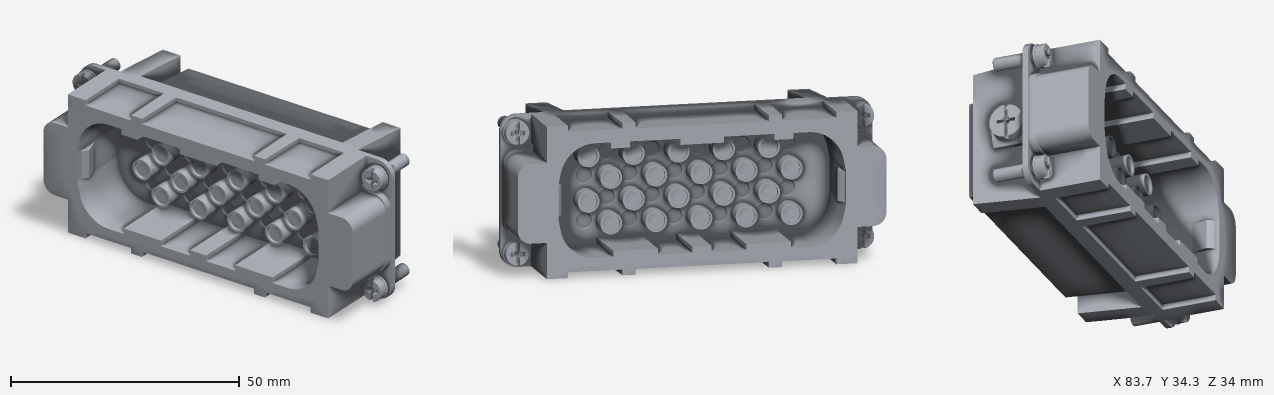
import cadquery as cq
import math


FLANGE_LENGTH = 83.7
HEIGHT = 34.0
TOTAL_DEPTH = 34.3

CAVITY_DEPTH = 14.9
FLANGE_FRONT = 14.2
FLANGE_BACK = 15.5
TAPER_START = 16.3
REAR_FACE = 31.4

FRONT_LENGTH = 69.9
REAR_LENGTH = 63.8
CENTRE_LENGTH = 54.2
REAR_DRAFT = math.tan(math.radians(5))
CENTRE_BACK_HALF_HEIGHT = 11.25
FLANGE_CORNER_RADIUS = 3.7

WING_LENGTH = 83.0
WING_HEIGHT = 17.8
WING_CORNER_RADIUS = 3.0
PAD_RISE = 0.5
PAD_FRONT = 12.4
PAD_FILLET_RADIUS = 4.5
PAD_FILLET_RUN = 3.0

POCKET_DEPTH = 1.3
POCKET_LENGTH = 12.6
POCKET_DRAFT = POCKET_LENGTH * math.tan(math.radians(1))
CENTRE_POCKET_HALF = 15.05
SIDE_POCKET_INNER = 17.95
SIDE_POCKET_OUTER = 30.2

CAVITY_HALF_LENGTH = 32.37
CAVITY_HALF_HEIGHT = 12.8
CAVITY_RADIUS = 8.0
CAVITY_ARC_X = 24.0
CAVITY_FACET_ANGLE = math.radians(11)
CAVITY_FLAT_HALF = 3.7

RIB_HEIGHT = 1.35
UPPER_RIBS = [(-20.55, -16.3), (-4.9, 4.9), (16.3, 20.55)]
LOWER_RIBS = [(-20.0, -9.95), (-2.15, 2.15), (9.95, 20.0)]

LATCH_HEIGHT = 6.8
LATCH_RISE = 1.3
LATCH_NEAR = 1.0
LATCH_NOSE = 1.75
LATCH_NOSE_RISE = 0.75
LATCH_CREST = 2.6
LATCH_FAR = 6.4

PITCH = 5.08
COLUMNS = 10
ROWS = 4
TUBE_DIAMETER = 4.9
TUBE_BORE = 4.0
TUBE_LENGTH = 4.1
SOCKET_DIAMETER = 3.7
SOCKET_FLOOR_DIAMETER = 3.3
TUBE_RECESS_DEPTH = 0.7
SOCKET_DEPTH = 0.4

SCREW_X = 38.8
SCREW_Z = 13.5
SHANK_DIAMETER = 3.0
SHANK_END = 23.3
SHANK_CHAMFER = 0.25
WASHER_DIAMETER = 5.6
WASHER_FRONT = 12.7
WASHER_BACK = 13.2
HEAD_DIAMETER = 5.3
HEAD_FRONT = 10.7
HEAD_CHAMFER = 0.15
SLOT_WIDTH = 0.85
SLOT_DEPTH = 1.0
CROSS_DIAMETER = 3.3
CROSS_WIDTH = 1.1

TERMINAL_Y = 21.1
POST_DIAMETER = 4.0
CLAMP_BACK_X = -33.25
CLAMP_EDGE_X = -34.45
CLAMP_CROWN_X = -35.65
CLAMP_SIDE = 8.7
TERMINAL_HEAD_DIAMETER = 8.0
TERMINAL_HEAD_FACE_DIAMETER = 7.75
TERMINAL_HEAD_RIM_X = -36.05
TERMINAL_HEAD_X = -37.95
TERMINAL_HEAD_SINK = 0.1
TERMINAL_SLOT_WIDTH = 0.8
TERMINAL_SLOT_DEPTH = 1.0
TERMINAL_CROSS_DIAMETER = 4.5
TERMINAL_CROSS_WIDTH = 0.8

PIT_MOUTH = 1.6
PIT_FLOOR = 0.8
PIT_DEPTH = 1.6


def section_at(y):
    """Workplane parallel to XZ at the given Y; extrusion runs toward -Y."""
    return cq.Workplane("XZ", origin=(0, y, 0))


def plate(length, height, front, back):
    """Rectangular block centred on X and Z, between two Y positions."""
    return section_at(back).rect(length, height).extrude(back - front)


def box_between(x, y, z):
    """Block spanning the given (low, high) ranges."""
    size = [high - low for low, high in (x, y, z)]
    return cq.Workplane("XY").box(*size, centered=False).translate((x[0], y[0], z[0]))


def both_ends(shape):
    """The shape together with its mirror image across X = 0."""
    return shape.union(shape.mirror("YZ"))


def four_corners(shape):
    """The shape repeated in all four quadrants of X and Z."""
    pair = both_ends(shape)
    return pair.union(pair.mirror("XY"))


def drafted_block(half_x_low, half_x_high, back, back_half_height):
    """Block between two X positions whose height shrinks toward the back with the rear draft."""
    front_half_height = back_half_height + (back - TAPER_START) * REAR_DRAFT
    return (
        cq.Workplane("YZ", origin=(half_x_low, 0, 0))
        .moveTo(TAPER_START, -front_half_height)
        .lineTo(back, -back_half_height)
        .lineTo(back, back_half_height)
        .lineTo(TAPER_START, front_half_height)
        .close()
        .extrude(half_x_high - half_x_low)
    )


def rear_housing():
    """Lower tapered centre block standing between two taller tapered end blocks."""
    end_half_height = HEIGHT / 2 - (REAR_FACE - TAPER_START) * REAR_DRAFT
    end = drafted_block(CENTRE_LENGTH / 2, REAR_LENGTH / 2, REAR_FACE, end_half_height)
    half_centre = CENTRE_LENGTH / 2
    centre = drafted_block(-half_centre, half_centre, TOTAL_DEPTH, CENTRE_BACK_HALF_HEIGHT)
    return centre.union(both_ends(end))


def wing_pad():
    """Thicker foot of the end wings, flared up to the side walls with a concave fillet."""
    height = WING_HEIGHT + 2 * PAD_RISE
    depth = FLANGE_FRONT - PAD_FRONT
    pad = plate(WING_LENGTH, height, PAD_FRONT, FLANGE_FRONT)
    pad = pad.edges("|Y").fillet(WING_CORNER_RADIUS)
    wall_x = FRONT_LENGTH / 2
    run_x = wall_x + PAD_FILLET_RUN
    top = height / 2
    flare_top = top + PAD_FILLET_RADIUS - math.sqrt(PAD_FILLET_RADIUS**2 - PAD_FILLET_RUN**2)
    flare = (
        section_at(FLANGE_FRONT)
        .moveTo(wall_x, 0)
        .lineTo(run_x, 0)
        .lineTo(run_x, top)
        .radiusArc((wall_x, flare_top), PAD_FILLET_RADIUS)
        .close()
        .extrude(depth)
    )
    return pad.union(four_corners(flare))


def housing():
    flange = plate(FLANGE_LENGTH, HEIGHT, FLANGE_FRONT, FLANGE_BACK)
    flange = flange.edges("|Y").fillet(FLANGE_CORNER_RADIUS)
    wings = plate(WING_LENGTH, WING_HEIGHT, 0, FLANGE_FRONT)
    wings = wings.edges("|Y").fillet(WING_CORNER_RADIUS)
    body = plate(FRONT_LENGTH, HEIGHT, 0, FLANGE_FRONT)
    body = body.union(plate(REAR_LENGTH, HEIGHT, FLANGE_FRONT, TAPER_START))
    return body.union(wings).union(wing_pad()).union(flange).union(rear_housing())


def outer_pockets():
    """Pocket cutters for the upper and lower faces, open at the mating face."""
    floor_z = HEIGHT / 2 - POCKET_DEPTH
    top_face = cq.Workplane("XY", origin=(0, 0, floor_z))
    inner_half = CENTRE_POCKET_HALF - POCKET_DRAFT
    centre = (
        top_face.moveTo(-CENTRE_POCKET_HALF, 0)
        .lineTo(CENTRE_POCKET_HALF, 0)
        .lineTo(inner_half, POCKET_LENGTH)
        .lineTo(-inner_half, POCKET_LENGTH)
        .close()
        .extrude(POCKET_DEPTH)
    )
    side = (
        top_face.moveTo(SIDE_POCKET_INNER, 0)
        .lineTo(SIDE_POCKET_OUTER, 0)
        .lineTo(SIDE_POCKET_OUTER, POCKET_LENGTH)
        .lineTo(SIDE_POCKET_INNER + POCKET_DRAFT, POCKET_LENGTH)
        .close()
        .extrude(POCKET_DEPTH)
    )
    upper = centre.union(both_ends(side))
    return upper.union(upper.mirror("XY"))


def cavity_corner(angle):
    """Point on the upper right cavity corner arc at an angle above the X axis."""
    x = CAVITY_ARC_X + CAVITY_RADIUS * math.cos(angle)
    z = CAVITY_HALF_HEIGHT - CAVITY_RADIUS + CAVITY_RADIUS * math.sin(angle)
    return x, z


def cavity():
    """Cavity cutter: large corner arcs, each running into a facet and a flat end wall."""
    arc_end = cavity_corner(CAVITY_FACET_ANGLE)
    arc_middle = cavity_corner((CAVITY_FACET_ANGLE + math.pi / 2) / 2)
    quarter = (
        section_at(CAVITY_DEPTH)
        .lineTo(CAVITY_HALF_LENGTH, 0)
        .lineTo(CAVITY_HALF_LENGTH, CAVITY_FLAT_HALF)
        .lineTo(*arc_end)
        .threePointArc(arc_middle, (CAVITY_ARC_X, CAVITY_HALF_HEIGHT))
        .lineTo(0, CAVITY_HALF_HEIGHT)
        .close()
        .extrude(CAVITY_DEPTH)
    )
    cutter = four_corners(quarter).clean()
    y_range = (0, CAVITY_DEPTH)
    inner = CAVITY_HALF_HEIGHT - RIB_HEIGHT
    for x_range in UPPER_RIBS:
        cutter = cutter.cut(box_between(x_range, y_range, (inner, CAVITY_HALF_HEIGHT)))
    for x_range in LOWER_RIBS:
        cutter = cutter.cut(box_between(x_range, y_range, (-CAVITY_HALF_HEIGHT, -inner)))
    return cutter


def latches():
    """Wedges on the cavity end walls: rounded toward the opening, sloped toward the floor."""
    wall = CAVITY_HALF_LENGTH
    crest = wall - LATCH_RISE
    nose = (wall - LATCH_NOSE_RISE, LATCH_NOSE)
    wedge = (
        cq.Workplane("XY", origin=(0, 0, -LATCH_HEIGHT / 2))
        .moveTo(wall, LATCH_NEAR)
        .threePointArc(nose, (crest, LATCH_CREST))
        .lineTo(wall, LATCH_FAR)
        .close()
        .extrude(LATCH_HEIGHT)
    )
    return both_ends(wedge)


def contact_positions(parity):
    """Grid positions (X, Z) whose column and row indices add up to the given parity."""
    return [
        ((column - (COLUMNS - 1) / 2) * PITCH, ((ROWS - 1) / 2 - row) * PITCH)
        for column in range(COLUMNS)
        for row in range(ROWS)
        if (column + row) % 2 == parity
    ]


def contact_tubes():
    """Tubes rising from the cavity floor, each with a shallow recess in its end."""
    tip = CAVITY_DEPTH - TUBE_LENGTH
    centres = contact_positions(0)
    tubes = section_at(CAVITY_DEPTH).pushPoints(centres).circle(TUBE_DIAMETER / 2).extrude(TUBE_LENGTH)
    recesses = section_at(tip + TUBE_RECESS_DEPTH).pushPoints(centres).circle(TUBE_BORE / 2)
    return tubes.cut(recesses.extrude(TUBE_RECESS_DEPTH))


def contact_sockets():
    """Cutters for the shallow conical recesses in the cavity floor."""
    cone = cq.Solid.makeCone(
        SOCKET_DIAMETER / 2,
        SOCKET_FLOOR_DIAMETER / 2,
        SOCKET_DEPTH,
        pnt=cq.Vector(0, CAVITY_DEPTH, 0),
        dir=cq.Vector(0, 1, 0),
    )
    cones = [cone.translate(cq.Vector(x, 0, z)) for x, z in contact_positions(1)]
    return cq.Workplane("XY").newObject(cones).combine()


def drive_recess(slot_width, slot_depth, cross_width, cross_diameter, head_diameter):
    """Cutter for a full slot, two short cross arms and a tapered central pit.

    The head face lies on Z = 0 of the local frame, with the material at +Z and the slot along Y.
    """
    base = cq.Workplane("XY")
    slot = base.rect(slot_width, head_diameter).extrude(slot_depth)
    arms = base.rect(cross_diameter, cross_width).extrude(slot_depth)
    arms = arms.intersect(base.circle(cross_diameter / 2).extrude(slot_depth))
    pit = base.rect(PIT_MOUTH, PIT_MOUTH).workplane(offset=PIT_DEPTH).rect(PIT_FLOOR, PIT_FLOOR).loft()
    return slot.union(arms).union(pit)


def mounting_screw():
    """Captive slotted screw through the flange at the +X, +Z corner."""
    shank = section_at(SHANK_END).circle(SHANK_DIAMETER / 2).extrude(SHANK_END - WASHER_BACK)
    shank = shank.faces(">Y").chamfer(SHANK_CHAMFER)
    washer = section_at(WASHER_BACK).circle(WASHER_DIAMETER / 2).extrude(WASHER_BACK - WASHER_FRONT)
    head = section_at(WASHER_FRONT).circle(HEAD_DIAMETER / 2).extrude(WASHER_FRONT - HEAD_FRONT)
    head = head.faces("<Y").chamfer(HEAD_CHAMFER)
    recess = drive_recess(SLOT_WIDTH, SLOT_DEPTH, CROSS_WIDTH, CROSS_DIAMETER, WASHER_DIAMETER)
    recess = recess.rotate((0, 0, 0), (1, 0, 0), -90).translate((0, HEAD_FRONT, 0))
    screw = shank.union(washer).union(head).cut(recess)
    return screw.translate((SCREW_X, 0, SCREW_Z))


def earth_terminal():
    """Post, crowned square clamp plate and slotted screw on the -X end face."""
    half = CLAMP_SIDE / 2
    clamp = (
        cq.Workplane("XZ", origin=(0, half, 0))
        .moveTo(CLAMP_BACK_X, -half)
        .lineTo(CLAMP_EDGE_X, -half)
        .threePointArc((CLAMP_CROWN_X, 0), (CLAMP_EDGE_X, half))
        .lineTo(CLAMP_BACK_X, half)
        .close()
        .extrude(CLAMP_SIDE)
    )
    wall_x = -REAR_LENGTH / 2
    post = cq.Workplane("YZ", origin=(CLAMP_BACK_X, 0, 0)).circle(POST_DIAMETER / 2)
    post = post.extrude(wall_x - CLAMP_BACK_X)
    head_back = CLAMP_CROWN_X + TERMINAL_HEAD_SINK
    head = (
        cq.Workplane("XY")
        .moveTo(head_back, 0)
        .lineTo(head_back, TERMINAL_HEAD_DIAMETER / 2)
        .lineTo(TERMINAL_HEAD_RIM_X, TERMINAL_HEAD_DIAMETER / 2)
        .lineTo(TERMINAL_HEAD_X, TERMINAL_HEAD_FACE_DIAMETER / 2)
        .lineTo(TERMINAL_HEAD_X, 0)
        .close()
        .revolve(360, (0, 0, 0), (1, 0, 0))
    )
    recess = drive_recess(
        TERMINAL_SLOT_WIDTH,
        TERMINAL_SLOT_DEPTH,
        TERMINAL_CROSS_WIDTH,
        TERMINAL_CROSS_DIAMETER,
        TERMINAL_HEAD_DIAMETER,
    )
    recess = recess.rotate((0, 0, 0), (0, 1, 0), 90).rotate((0, 0, 0), (1, 0, 0), 90)
    recess = recess.translate((TERMINAL_HEAD_X, 0, 0))
    terminal = clamp.union(head).cut(recess).union(post)
    return terminal.translate((0, TERMINAL_Y, 0))


result = housing().cut(outer_pockets()).cut(cavity())
result = result.union(latches())
result = result.union(contact_tubes()).cut(contact_sockets())
result = result.union(four_corners(mounting_screw()))
result = result.union(earth_terminal())